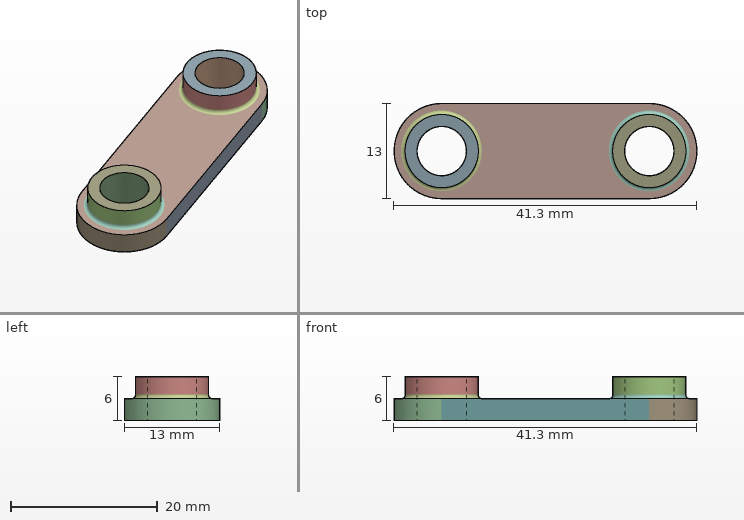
import cadquery as cq

length = 41.3
width = 13.0
total_height = 6.0
plate_thickness = total_height / 2
boss_spacing = length - width

boss_diameter = 10.0
bore_diameter = 6.7
root_fillet = 0.5

boss_centers = [(-boss_spacing / 2, 0), (boss_spacing / 2, 0)]

plate = cq.Workplane("XY").slot2D(length, width).extrude(plate_thickness)

bosses = (
    cq.Workplane("XY")
    .pushPoints(boss_centers)
    .circle(boss_diameter / 2)
    .extrude(total_height)
)
body = plate.union(bosses)

for center_x, center_y in boss_centers:
    root_edge = cq.selectors.RadiusNthSelector(0)
    around_boss_root = cq.selectors.BoxSelector(
        (center_x - width / 2, center_y - width / 2, plate_thickness - root_fillet),
        (center_x + width / 2, center_y + width / 2, plate_thickness + root_fillet),
    )
    body = body.edges("%CIRCLE").edges(around_boss_root).edges(root_edge).fillet(root_fillet)

bores = (
    cq.Workplane("XY")
    .pushPoints(boss_centers)
    .circle(bore_diameter / 2)
    .extrude(total_height)
)
result = body.cut(bores)